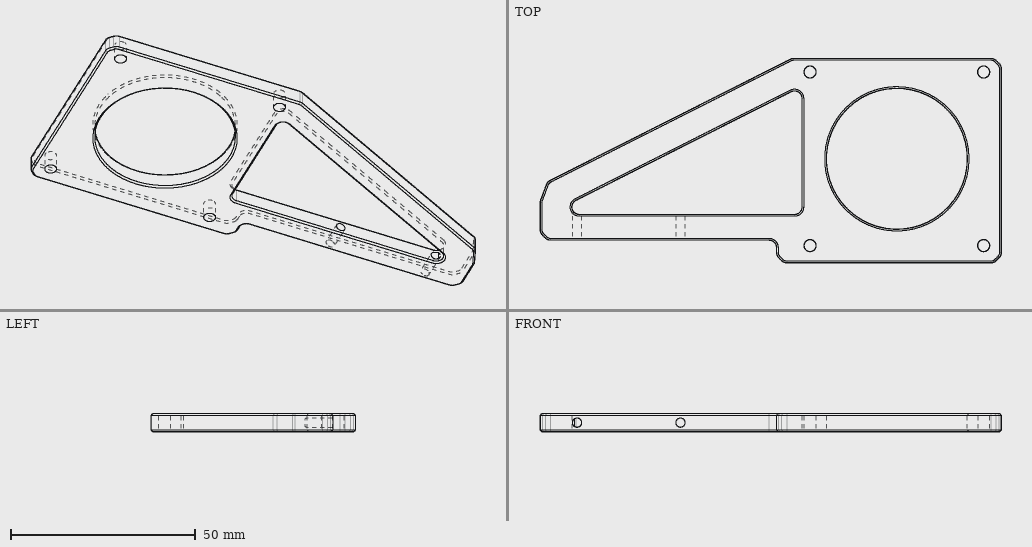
import math

import cadquery as cq

overall_length = 124.89
overall_width = 55.4
thickness = 5.0
edge_chamfer = 0.5
corner_cut = 2.0
corner_radius = 2.0

right_x = 28.3
left_x = right_x - overall_length
top_y = 27.2
bottom_y = top_y - overall_width
step_x = -32.6
arm_bottom_y = bottom_y + 6.15

slope_top_x = -28.4
tip_x = left_x + 2.0
tip_y = -6.2
tip_side_y = -11.5
slope_gradient = (top_y - tip_y) / (slope_top_x - tip_x)

strut_width = 8.0
rail_width = 7.0
window_right_x = -25.7
window_bottom_y = arm_bottom_y + rail_width

bore_diameter = 38.1
screw_spacing = 47.0
screw_hole_diameter = 3.2

side_hole_diameter = 2.5
side_hole_count = 2
first_side_hole_x = left_x + 10.0
side_hole_pitch = 28.0


def make_prism(points):
    """Extrude a polygon to the plate thickness and round its vertical edges."""
    prism = cq.Workplane("XY").polyline(points).close().extrude(thickness)
    return prism.edges("|Z").fillet(corner_radius)


def make_plate():
    """Square plate with a tapering arm; its square outer corners are cut at 45 degrees."""
    return make_prism(
        [
            (right_x - corner_cut, bottom_y),
            (right_x, bottom_y + corner_cut),
            (right_x, top_y - corner_cut),
            (right_x - corner_cut, top_y),
            (slope_top_x, top_y),
            (tip_x, tip_y),
            (left_x, tip_side_y),
            (left_x, arm_bottom_y + corner_cut),
            (left_x + corner_cut, arm_bottom_y),
            (step_x, arm_bottom_y),
            (step_x, bottom_y + corner_cut),
            (step_x + corner_cut, bottom_y),
        ]
    )


def make_window():
    """Triangular window whose long side runs parallel to the arm's sloping edge."""
    vertical_drop = strut_width * math.hypot(1, slope_gradient)
    window_top_y = tip_y + slope_gradient * (window_right_x - tip_x) - vertical_drop
    window_left_x = window_right_x - (window_top_y - window_bottom_y) / slope_gradient
    return make_prism(
        [
            (window_left_x, window_bottom_y),
            (window_right_x, window_bottom_y),
            (window_right_x, window_top_y),
        ]
    )


def make_bore():
    """Large round opening in the square part of the plate."""
    return cq.Workplane("XY").circle(bore_diameter / 2).extrude(thickness)


def make_screw_holes():
    """Four through holes on a square pattern around the bore."""
    return (
        cq.Workplane("XY")
        .rect(screw_spacing, screw_spacing, forConstruction=True)
        .vertices()
        .circle(screw_hole_diameter / 2)
        .extrude(thickness)
    )


def make_side_hole(x):
    """Hole along +Y through the rail at mid thickness, ending inside the window."""
    depth = rail_width + edge_chamfer
    start = cq.Vector(x, arm_bottom_y, thickness / 2)
    return cq.Solid.makeCylinder(side_hole_diameter / 2, depth, start, cq.Vector(0, 1, 0))


result = make_plate().cut(make_window()).cut(make_bore())
result = result.faces("<Z or >Z").edges().chamfer(edge_chamfer)
result = result.cut(make_screw_holes())
for index in range(side_hole_count):
    result = result.cut(make_side_hole(first_side_hole_x + index * side_hole_pitch))